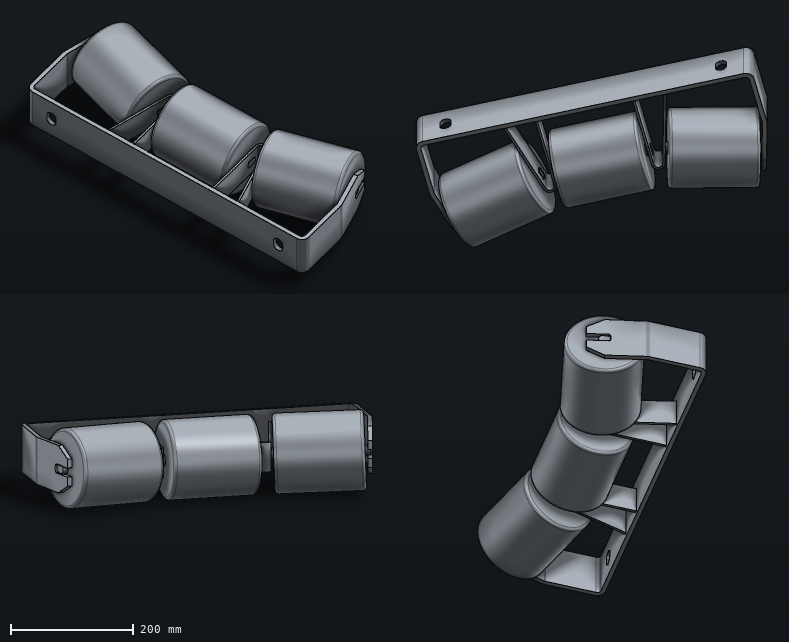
import cadquery as cq
import math

frame_width = 570.0
frame_height = 80.0
plate_thickness = 8.0
bend_radius = 14.0
side_wall_end = 101.5
lean_angle = 15.0
arm_tip = 201.0
tip_chamfer_length = 30.0
tip_chamfer_height = 17.0
mount_spacing = 465.0
mount_slot_width = 18.0
mount_slot_height = 27.0

roller_diameter = 133.0
roller_length = 150.0
roller_fillet = 5.0
shaft_diameter = 20.0
shaft_collar = 3.5
flat_height = 13.5
roller_gap = 5.0
middle_roller_y = 125.5
outer_roller_x = 182.5
outer_roller_y = 149.5
bracket_drop = 7.0
arm_slot_width = 15.0
arm_slot_diameter = 20.5

bracket_thickness = 4.0
bracket_radius = 11.5
bracket_fold_y = 140.0
bracket_height = 50.0

lean = math.radians(lean_angle)
bracket_face_x = roller_length / 2 + roller_gap
bracket_fold_x = bracket_face_x + bracket_radius
shaft_half_length = bracket_face_x + bracket_thickness
tilt_angle = math.degrees(math.asin(bracket_drop / (2 * shaft_half_length)))


def polar(center, radius, degrees):
    """Point on a circle, at an angle counted from +X."""
    angle = math.radians(degrees)
    return center[0] + radius * math.cos(angle), center[1] + radius * math.sin(angle)


def flatted_bar(length, diameter, height):
    """Round bar along X, centred on the origin, with flats on its top and bottom."""
    bar = cq.Workplane("YZ").circle(diameter / 2).extrude(length / 2, both=True)
    return bar.intersect(cq.Workplane("XY").box(length, diameter, height))


def place_outer(shape, side, tilt=tilt_angle, z=-bracket_drop / 2):
    """Move a shape built along X to the outer roller on one side (-1 left, 1 right)."""
    shape = shape.rotate((0, 0, 0), (0, 1, 0), -side * tilt)
    shape = shape.rotate((0, 0, 0), (0, 0, 1), side * lean_angle)
    return shape.translate((side * outer_roller_x, outer_roller_y, z))


def place_middle(shape):
    """Move a shape built along X to the middle roller."""
    return shape.translate((0, middle_roller_y, -bracket_drop))


def make_roller():
    """Roller and its shaft, along X and centred on the origin."""
    drum = cq.Workplane("YZ", origin=(-roller_length / 2, 0, 0))
    drum = drum.circle(roller_diameter / 2).extrude(roller_length)
    drum = drum.edges().fillet(roller_fillet)
    collar_half_length = roller_length / 2 + shaft_collar
    collars = cq.Workplane("YZ").circle(shaft_diameter / 2).extrude(collar_half_length, both=True)
    shaft = flatted_bar(2 * shaft_half_length, shaft_diameter, flat_height)
    return drum.union(collars).union(shaft)


def half_strip():
    """Right half of the frame strip, without openings."""
    inner_radius = bend_radius - plate_thickness
    center_x = frame_width / 2 - bend_radius
    corner = (center_x, bend_radius)
    elbow = (center_x, side_wall_end)
    arm_start = polar(elbow, bend_radius, lean_angle)
    arm_length = (arm_tip - arm_start[1]) / math.cos(lean)
    outer_tip = polar(arm_start, arm_length, 90 + lean_angle)
    inner_tip = polar(outer_tip, plate_thickness, 180 + lean_angle)
    strip = (
        cq.Workplane("XY")
        .moveTo(0, 0)
        .lineTo(center_x, 0)
        .threePointArc(polar(corner, bend_radius, -45), polar(corner, bend_radius, 0))
        .lineTo(*polar(elbow, bend_radius, 0))
        .threePointArc(polar(elbow, bend_radius, lean_angle / 2), arm_start)
        .lineTo(*outer_tip)
        .lineTo(*inner_tip)
        .lineTo(*polar(elbow, inner_radius, lean_angle))
        .threePointArc(polar(elbow, inner_radius, lean_angle / 2), polar(elbow, inner_radius, 0))
        .lineTo(*polar(corner, inner_radius, 0))
        .threePointArc(polar(corner, inner_radius, -45), polar(corner, inner_radius, -90))
        .lineTo(0, plate_thickness)
        .close()
        .extrude(frame_height / 2, both=True)
    )
    return cut_tip_chamfers(strip, outer_tip)


def cut_tip_chamfers(strip, outer_tip):
    """Slope the top and bottom corners of the arm tip."""
    half_height = frame_height / 2
    reach = 2 * plate_thickness
    for end in (-1, 1):
        corner = (
            cq.Workplane("YZ")
            .polyline([
                (0, end * half_height),
                (-tip_chamfer_length, end * half_height),
                (0, end * (half_height - tip_chamfer_height)),
            ])
            .close()
            .extrude(reach, both=True)
            .rotate((0, 0, 0), (0, 0, 1), lean_angle)
            .translate((*outer_tip, 0))
        )
        strip = strip.cut(corner)
    return strip


def make_frame():
    """Whole frame with its mounting slots and the two shaft slots."""
    right_half = half_strip()
    frame = right_half.union(right_half.mirror("YZ"))

    mount_slots = (
        cq.Workplane("XZ")
        .pushPoints([(-mount_spacing / 2, 0), (mount_spacing / 2, 0)])
        .slot2D(mount_slot_height, mount_slot_width, 90)
        .extrude(-plate_thickness)
    )
    frame = frame.cut(mount_slots)

    opening_length = arm_tip - middle_roller_y
    seat_length = 2 * (shaft_half_length + plate_thickness)
    seat = flatted_bar(seat_length, arm_slot_diameter, arm_slot_width)
    opening = cq.Workplane("XY").box(
        seat_length, opening_length, arm_slot_width, centered=(True, False, True)
    )
    for side in (-1, 1):
        frame = frame.cut(place_outer(seat.union(opening), side, tilt=0, z=0))
    return frame


def make_bracket(side):
    """Bracket on one side, standing on the back plate, with openings for the two shafts."""
    inner_radius = bracket_radius - bracket_thickness
    fold = (bracket_fold_x, bracket_fold_y)
    fold_middle = (180 + lean_angle) / 2

    def leaning_foot(start):
        """Where a line down the leaning leg reaches the back plate."""
        return start[0] + (start[1] - plate_thickness) * math.tan(lean), plate_thickness

    outer_start = polar(fold, bracket_radius, lean_angle)
    inner_start = polar(fold, inner_radius, lean_angle)
    bracket = (
        cq.Workplane("XY")
        .moveTo(bracket_face_x, plate_thickness)
        .lineTo(*polar(fold, bracket_radius, 180))
        .threePointArc(polar(fold, bracket_radius, fold_middle), outer_start)
        .lineTo(*leaning_foot(outer_start))
        .lineTo(*leaning_foot(inner_start))
        .lineTo(*inner_start)
        .threePointArc(polar(fold, inner_radius, fold_middle), polar(fold, inner_radius, 180))
        .lineTo(bracket_face_x + bracket_thickness, plate_thickness)
        .close()
        .extrude(bracket_height / 2, both=True)
        .translate((0, 0, -bracket_drop))
    )
    if side < 0:
        bracket = bracket.mirror("YZ")
    shaft_hole = flatted_bar(2 * shaft_half_length, shaft_diameter, flat_height)
    return bracket.cut(place_middle(shaft_hole)).cut(place_outer(shaft_hole, side))


frame = make_frame()
brackets = [make_bracket(side) for side in (-1, 1)]
middle_roller = place_middle(make_roller())
outer_rollers = [place_outer(make_roller(), side) for side in (-1, 1)]

bodies = [frame, *brackets, middle_roller, *outer_rollers]
result = cq.Compound.makeCompound([body.solids().val() for body in bodies])